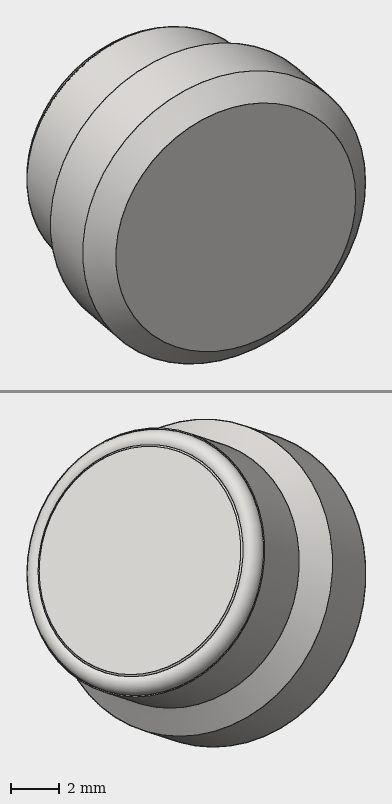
import cadquery as cq
import math

length = 8.2
rim_radius = 6.6

neck_radius = 5.6
rim_land = 2.8
bevel = rim_radius - neck_radius

bead_radius = 0.5
bead_center_radius = 5.04
face_radius = 4.75
face_bevel_radius = 4.83

rear_bevel_start = length - bevel
rim_start = rear_bevel_start - rim_land
neck_end = rim_start - bevel
neck_start = bead_radius


def bead_point(angle):
    """Point on the bead, with the angle turned outward from its crest."""
    x = bead_radius * (1 - math.cos(angle))
    radius = bead_center_radius + bead_radius * math.sin(angle)
    return x, radius


inner_angle = math.asin((face_bevel_radius - bead_center_radius) / bead_radius)
outer_angle = math.pi / 2

profile = (
    cq.Workplane("XY")
    .moveTo(0, 0)
    .lineTo(0, face_radius)
    .lineTo(*bead_point(inner_angle))
    .threePointArc(bead_point((inner_angle + outer_angle) / 2), bead_point(outer_angle))
    .lineTo(neck_start, neck_radius)
    .lineTo(neck_end, neck_radius)
    .lineTo(rim_start, rim_radius)
    .lineTo(rear_bevel_start, rim_radius)
    .lineTo(length, neck_radius)
    .lineTo(length, 0)
    .close()
)

result = profile.revolve(360, (0, 0, 0), (1, 0, 0))